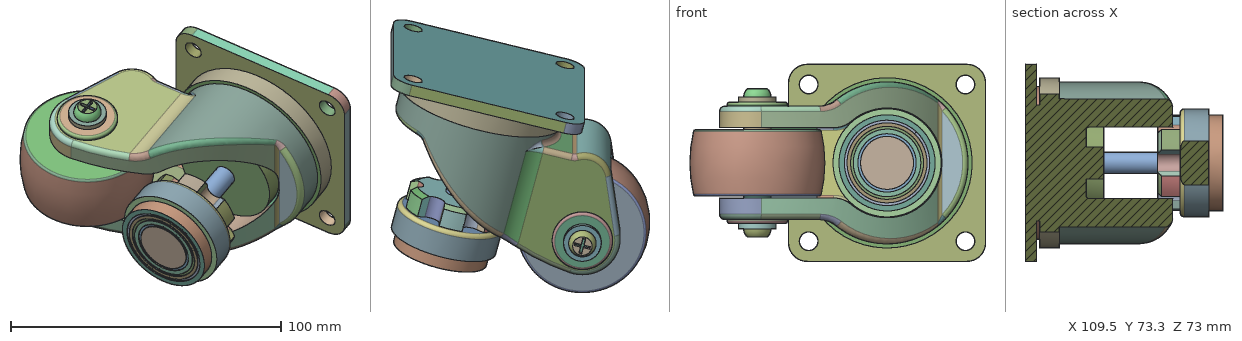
import cadquery as cq
import math


plate_side = 73.0
plate_thickness = 4.2
plate_corner_radius = 7.0
plate_hole_diameter = 6.8
plate_hole_pitch = 58.0

race_radius = 28.3
collar_radius = 31.5
collar_top_depth = 5.3
collar_bottom_depth = 12.6

body_radius = 30.0
arm_outer_half_width = 21.0
arm_inner_half_width = 13.0
plan_blend_radius = 10.0
cavity_radius = 20.3
rim_depth = 24.0
rim_blend_radius = 2.0
shoulder_depth = 17.0
shoulder_blend_radius = 3.0
hump_x = -42.8
hump_depth = 25.2
hump_radius = 10.0
axle_boss_radius = 14.0
belly_radius = 93.3
belly_start_angle = 6.0
outer_fillet = 2.0
barrel_fillet = 1.9
cavity_ceiling_depth = 22.6
wheel_ceiling_depth = 20.8
wheel_ceiling_end_x = -26.0
cavity_fillet = 1.0
cavity_boss_radius = 19.2
cavity_boss_depth = 29.1

axle_x = -48.0
axle_depth = 48.3
wheel_radius = 25.0
wheel_edge_radius = 23.5
wheel_width = 24.6
wheel_edge_fillet = 0.9
hub_radius = 5.1
washer_radius = 11.2
washer_thickness = 1.5
washer_fillet = 1.0
nut_radius = 7.0
nut_thickness = 1.9
head_radius = 5.1
head_flat_radius = 3.6
head_height = 3.1
recess_length = 5.9
recess_width = 1.0
recess_depth = 1.5

stem_radius = 4.0
knob_top_depth = 49.0
knob_radius = 17.7
knob_groove_center_radius = 16.1
knob_tooth_width = 8.75
knob_tooth_count = 6
knob_chamfer_width = 2.5
knob_chamfer_height = 1.4
foot_radius = 20.0
foot_top_depth = 57.3
foot_bottom_depth = 67.9
foot_fillet = 1.6
pad_radius = 17.8
pad_bottom_depth = 73.1
pad_groove_inner_radii = (9.8, 12.5, 14.8)
pad_groove_width = 1.0
pad_groove_depth = 0.5

joint_overlap = 1.0


def swivel_cylinder(radius, top_depth, bottom_depth):
    """Cylinder on the swivel axis between two depths."""
    return (
        cq.Workplane("XZ")
        .workplane(offset=top_depth)
        .circle(radius)
        .extrude(bottom_depth - top_depth)
    )


def keyhole_prism(radius, half_width, top_depth, bottom_depth):
    """Circle on the swivel axis running into a parallel-sided tail toward -X, corners blended."""
    blend_z = half_width + plan_blend_radius
    blend_x = -math.sqrt((radius + plan_blend_radius) ** 2 - blend_z**2)
    touch = radius / (radius + plan_blend_radius)
    touch_x = blend_x * touch
    touch_z = blend_z * touch
    mid_angle = (math.atan2(touch_z - blend_z, touch_x - blend_x) - math.pi / 2) / 2
    mid_x = blend_x + plan_blend_radius * math.cos(mid_angle)
    mid_z = blend_z + plan_blend_radius * math.sin(mid_angle)
    tail_x = axle_x - wheel_radius
    return (
        cq.Workplane("XZ")
        .workplane(offset=top_depth)
        .moveTo(tail_x, half_width)
        .lineTo(blend_x, half_width)
        .threePointArc((mid_x, mid_z), (touch_x, touch_z))
        .threePointArc((radius, 0), (touch_x, -touch_z))
        .threePointArc((mid_x, -mid_z), (blend_x, -half_width))
        .lineTo(tail_x, -half_width)
        .close()
        .extrude(bottom_depth - top_depth)
    )


def on_circle(center, radius, angle):
    """Point at an angle (radians) on a circle."""
    return (center[0] + radius * math.cos(angle), center[1] + radius * math.sin(angle))


def side_profile_prism():
    """Side outline of the fork: shoulder, hump, axle end, belly arc and rim, swept along Z."""
    axle = (axle_x, -axle_depth)
    hump = (hump_x, -hump_depth)

    rise = math.atan2(hump[1] - axle[1], hump[0] - axle[0])
    center_distance = math.hypot(hump[0] - axle[0], hump[1] - axle[1])
    front_normal = rise + math.acos((axle_boss_radius - hump_radius) / center_distance)

    shoulder_blend_y = -shoulder_depth + shoulder_blend_radius
    blend_reach = hump_radius + shoulder_blend_radius
    hump_end_angle = math.asin((shoulder_blend_y - hump[1]) / blend_reach)
    shoulder_blend = on_circle(hump, blend_reach, hump_end_angle)
    shoulder_mid_angle = (hump_end_angle + math.pi + 1.5 * math.pi) / 2

    belly_start = math.radians(belly_start_angle) - math.pi / 2
    belly = on_circle(axle, axle_boss_radius - belly_radius, belly_start)

    rim_blend_y = -rim_depth - rim_blend_radius
    belly_end = math.asin((rim_blend_y - belly[1]) / (belly_radius + rim_blend_radius))
    rim_blend = on_circle(belly, belly_radius + rim_blend_radius, belly_end)
    rim_mid_angle = (belly_end + math.pi + math.pi / 2) / 2

    axle_mid_angle = (front_normal + belly_start + 2 * math.pi) / 2
    right_x = body_radius + joint_overlap
    half_span = collar_radius
    return (
        cq.Workplane("XY")
        .workplane(offset=-half_span)
        .moveTo(right_x, -shoulder_depth)
        .lineTo(shoulder_blend[0], -shoulder_depth)
        .threePointArc(
            on_circle(shoulder_blend, shoulder_blend_radius, shoulder_mid_angle),
            on_circle(hump, hump_radius, hump_end_angle),
        )
        .threePointArc(
            on_circle(hump, hump_radius, (hump_end_angle + front_normal) / 2),
            on_circle(hump, hump_radius, front_normal),
        )
        .lineTo(*on_circle(axle, axle_boss_radius, front_normal))
        .threePointArc(
            on_circle(axle, axle_boss_radius, axle_mid_angle),
            on_circle(axle, axle_boss_radius, belly_start),
        )
        .threePointArc(
            on_circle(belly, belly_radius, (belly_start + belly_end) / 2),
            on_circle(belly, belly_radius, belly_end),
        )
        .threePointArc(
            on_circle(rim_blend, rim_blend_radius, rim_mid_angle),
            (rim_blend[0], -rim_depth),
        )
        .lineTo(right_x, -rim_depth)
        .close()
        .extrude(2 * half_span)
    )


def mounting_plate():
    half_pitch = plate_hole_pitch / 2
    hole_centers = [(x, z) for x in (-half_pitch, half_pitch) for z in (-half_pitch, half_pitch)]
    return (
        cq.Workplane("XZ")
        .rect(plate_side, plate_side)
        .extrude(plate_thickness)
        .edges("|Y")
        .fillet(plate_corner_radius)
        .cut(
            cq.Workplane("XZ")
            .pushPoints(hole_centers)
            .circle(plate_hole_diameter / 2)
            .extrude(plate_thickness)
        )
    )


def fork_cavity():
    """Clearance for the wheel and the foot, open toward -Y and -X."""
    bottom_depth = axle_depth + wheel_radius
    cavity = keyhole_prism(cavity_radius, arm_inner_half_width, cavity_ceiling_depth, bottom_depth)
    front_x = axle_x - wheel_radius
    wheel_room = (
        cq.Workplane("XZ")
        .workplane(offset=wheel_ceiling_depth)
        .center((front_x + wheel_ceiling_end_x) / 2, 0)
        .rect(wheel_ceiling_end_x - front_x, 2 * arm_inner_half_width)
        .extrude(bottom_depth - wheel_ceiling_depth)
        .edges(">Y and |X")
        .fillet(cavity_fillet)
    )
    return cavity.faces(">Y").edges().fillet(cavity_fillet).union(wheel_room)


def fork():
    bottom_depth = axle_depth + wheel_radius
    plan = keyhole_prism(body_radius, arm_outer_half_width, collar_bottom_depth, bottom_depth)
    arms = plan.intersect(side_profile_prism())
    arms = arms.edges("not(|Y or |Z)").fillet(outer_fillet)
    barrel = swivel_cylinder(
        body_radius, collar_bottom_depth - joint_overlap, shoulder_depth + outer_fillet
    )
    housing = arms.union(barrel)

    shoulder_corner = cq.selectors.NearestToPointSelector((-body_radius, -shoulder_depth, 0))
    housing = housing.edges(shoulder_corner).fillet(barrel_fillet).cut(fork_cavity())
    boss = swivel_cylinder(cavity_boss_radius, wheel_ceiling_depth, cavity_boss_depth)
    return housing.union(boss)


def wheel():
    half_width = wheel_width / 2
    return (
        cq.Workplane("XY")
        .moveTo(0, -half_width)
        .lineTo(wheel_edge_radius, -half_width)
        .threePointArc((wheel_radius, 0), (wheel_edge_radius, half_width))
        .lineTo(0, half_width)
        .close()
        .revolve(360, (0, 0), (0, 1))
        .faces("<Y or >Y")
        .edges()
        .fillet(wheel_edge_fillet)
        .rotate((0, 0, 0), (1, 0, 0), 90)
    )


def axle_end():
    """Washer, nut and domed cross-recess head on the +Z side of the fork."""
    nut_z = arm_outer_half_width + washer_thickness
    head_z = nut_z + nut_thickness
    top_z = head_z + head_height

    washer = (
        cq.Workplane("XY")
        .workplane(offset=arm_outer_half_width)
        .circle(washer_radius)
        .extrude(washer_thickness)
        .faces(">Z")
        .edges()
        .fillet(washer_fillet)
    )
    nut = cq.Workplane("XY").workplane(offset=nut_z).circle(nut_radius).extrude(nut_thickness)

    narrowing = head_radius - head_flat_radius
    dome_radius = (head_height**2 + narrowing**2) / (2 * narrowing)
    dome_center = (head_radius - dome_radius, head_z)
    half_sweep = math.asin(head_height / dome_radius) / 2
    head = (
        cq.Workplane("XY")
        .moveTo(0, head_z)
        .lineTo(head_radius, head_z)
        .threePointArc(on_circle(dome_center, dome_radius, half_sweep), (head_flat_radius, top_z))
        .lineTo(0, top_z)
        .close()
        .revolve(360, (0, 0), (0, 1))
        .rotate((0, 0, 0), (1, 0, 0), 90)
    )
    for length_x, length_y in ((recess_length, recess_width), (recess_width, recess_length)):
        slot = cq.Workplane("XY").workplane(offset=top_z).rect(length_x, length_y)
        head = head.cut(slot.extrude(-recess_depth))
    return washer.union(nut).union(head)


def wheel_set():
    """Wheel, hub through the fork arms and both axle ends, placed on the axle."""
    hub = cq.Workplane("XY").circle(hub_radius).extrude(arm_outer_half_width, both=True)
    near_end = axle_end()
    far_end = near_end.mirror("XY")
    return wheel().union(hub).union(near_end).union(far_end).translate((axle_x, -axle_depth, 0))


def knob():
    """Toothed adjusting wheel above the foot, its teeth bevelled on top."""
    height = foot_top_depth - knob_top_depth
    blank = (
        swivel_cylinder(knob_radius, knob_top_depth, foot_top_depth)
        .faces(">Y")
        .edges()
        .chamfer(knob_chamfer_height, knob_chamfer_width)
    )
    half_pitch_angle = math.pi / knob_tooth_count
    half_tooth = knob_tooth_width / 2
    groove_radius = knob_groove_center_radius * math.sin(half_pitch_angle) - half_tooth
    tangent_reach = knob_groove_center_radius * math.cos(half_pitch_angle)
    star = swivel_cylinder(math.hypot(tangent_reach, half_tooth), knob_top_depth, foot_top_depth)
    grooves = (
        cq.Workplane("XZ")
        .workplane(offset=knob_top_depth)
        .polarArray(knob_groove_center_radius, 0, 360, knob_tooth_count)
        .circle(groove_radius)
        .extrude(height)
    )
    star = star.cut(grooves)
    for index in range(knob_tooth_count):
        tooth = (
            cq.Workplane("XZ")
            .workplane(offset=knob_top_depth)
            .center(0, knob_radius / 2)
            .rect(knob_tooth_width, knob_radius)
            .extrude(height)
            .rotate((0, 0, 0), (0, 1, 0), index * 360 / knob_tooth_count)
        )
        star = star.union(tooth)
    return blank.intersect(star)


def levelling_foot():
    stem = swivel_cylinder(stem_radius, cavity_boss_depth - joint_overlap, foot_top_depth)
    disc = swivel_cylinder(foot_radius, foot_top_depth, foot_bottom_depth)
    disc = disc.faces(">Y").edges().fillet(foot_fillet)
    pad = swivel_cylinder(pad_radius, foot_bottom_depth, pad_bottom_depth)
    for inner_radius in pad_groove_inner_radii:
        groove = (
            cq.Workplane("XZ")
            .workplane(offset=pad_bottom_depth - pad_groove_depth)
            .circle(inner_radius + pad_groove_width)
            .circle(inner_radius)
            .extrude(pad_groove_depth)
        )
        pad = pad.cut(groove)
    return stem.union(knob()).union(disc).union(pad)


race = swivel_cylinder(race_radius, plate_thickness, collar_top_depth)
collar = swivel_cylinder(collar_radius, collar_top_depth, collar_bottom_depth)

result = (
    mounting_plate()
    .union(race)
    .union(collar)
    .union(fork())
    .union(wheel_set())
    .union(levelling_foot())
)